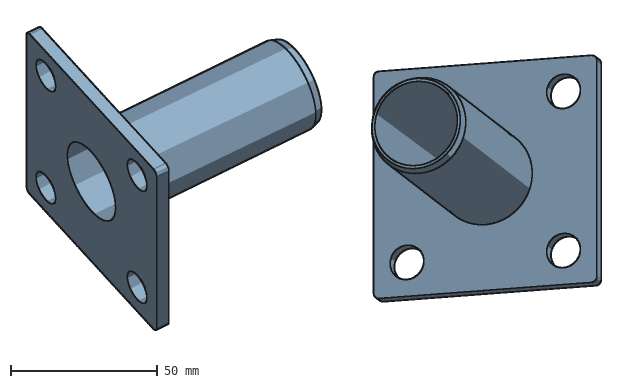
import cadquery as cq

plate_side = 80.0
total_length = 84.0

plate_thickness = 5.0
corner_radius = 2.0
bolt_hole_diameter = 12.0
bolt_hole_spacing = 56.0

tube_outer_diameter = 33.7
bore_diameter = 29.6
chamfer_length = 3.0
chamfer_depth = 1.0


def cylinder_along_y(diameter, length):
    """Cylinder on the Y axis, starting at Y = 0."""
    return cq.Workplane("XZ").circle(diameter / 2).extrude(-length)


def make_plate():
    """Square plate with rounded corners and four bolt holes."""
    plate = (
        cq.Workplane("XZ")
        .rect(plate_side, plate_side)
        .extrude(-plate_thickness)
        .edges("|Y")
        .fillet(corner_radius)
    )
    bolt_holes = (
        cq.Workplane("XZ")
        .rect(bolt_hole_spacing, bolt_hole_spacing, forConstruction=True)
        .vertices()
        .circle(bolt_hole_diameter / 2)
        .extrude(-plate_thickness)
    )
    return plate.cut(bolt_holes)


def make_tube_body():
    """Solid tube body with a long, shallow chamfer on its free end."""
    outer_radius = tube_outer_diameter / 2
    chamfer_start = total_length - chamfer_length
    return (
        cq.Workplane("XY")
        .lineTo(outer_radius, 0)
        .lineTo(outer_radius, chamfer_start)
        .lineTo(outer_radius - chamfer_depth, total_length)
        .lineTo(0, total_length)
        .close()
        .revolve(360, (0, 0, 0), (0, 1, 0))
    )


bore = cylinder_along_y(bore_diameter, total_length)
result = make_plate().union(make_tube_body()).cut(bore)